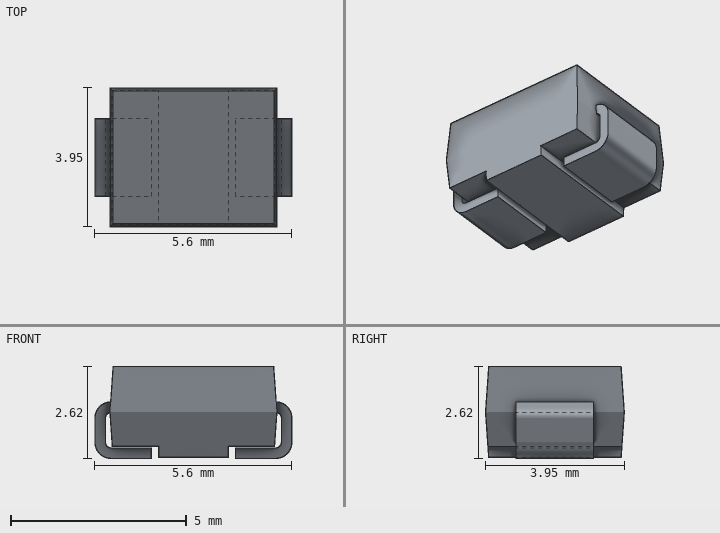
import cadquery as cq
import math

overall_length = 5.6
body_length = 4.75
body_width = 3.95
body_top = 2.62
parting_height = 1.315
body_bottom = 0.035
draft_angle = 4.0

pad_length = 1.98
recess_ceiling = 0.35

lead_width = 2.205
lead_thickness = 0.3
lead_top = 1.61
bend_radius = 0.465
foot_tip_x = 1.19
lead_embed = 0.335


def body_half(end_height):
    """Frustum from the parting plane to end_height, narrowing at the draft angle."""
    inset = abs(end_height - parting_height) * math.tan(math.radians(draft_angle))
    return (
        cq.Workplane("XY", origin=(0, 0, parting_height))
        .rect(body_length, body_width)
        .workplane(offset=end_height - parting_height)
        .rect(body_length - 2 * inset, body_width - 2 * inset)
        .loft(combine=True, ruled=True)
    )


def foot_recess(side):
    """Clearance under one end of the body; side is -1 or +1 along X."""
    recess_length = (overall_length - pad_length) / 2
    center_x = side * (pad_length + recess_length) / 2
    return (
        cq.Workplane("XY", origin=(center_x, 0, 0))
        .rect(recess_length, body_width)
        .extrude(recess_ceiling)
    )


def right_lead():
    """C-shaped strip running from inside the body, down, and back under it."""
    outer_x = overall_length / 2
    inner_x = outer_x - lead_thickness
    embed_x = body_length / 2 - lead_embed
    inner_radius = bend_radius - lead_thickness
    bend_x = outer_x - bend_radius
    upper_bend_z = lead_top - bend_radius
    diagonal = math.sqrt(0.5)
    outer_mid = bend_radius * diagonal
    inner_mid = inner_radius * diagonal
    profile = (
        cq.Workplane("XZ")
        .moveTo(embed_x, lead_top)
        .lineTo(bend_x, lead_top)
        .threePointArc((bend_x + outer_mid, upper_bend_z + outer_mid), (outer_x, upper_bend_z))
        .lineTo(outer_x, bend_radius)
        .threePointArc((bend_x + outer_mid, bend_radius - outer_mid), (bend_x, 0))
        .lineTo(foot_tip_x, 0)
        .lineTo(foot_tip_x, lead_thickness)
        .lineTo(bend_x, lead_thickness)
        .threePointArc((bend_x + inner_mid, bend_radius - inner_mid), (inner_x, bend_radius))
        .lineTo(inner_x, upper_bend_z)
        .threePointArc(
            (bend_x + inner_mid, upper_bend_z + inner_mid),
            (bend_x, lead_top - lead_thickness),
        )
        .lineTo(embed_x, lead_top - lead_thickness)
        .close()
    )
    return profile.extrude(lead_width / 2, both=True)


body = body_half(body_top).union(body_half(body_bottom))
for side in (-1, 1):
    body = body.cut(foot_recess(side))

lead = right_lead()
result = body.union(lead).union(lead.mirror("YZ"))